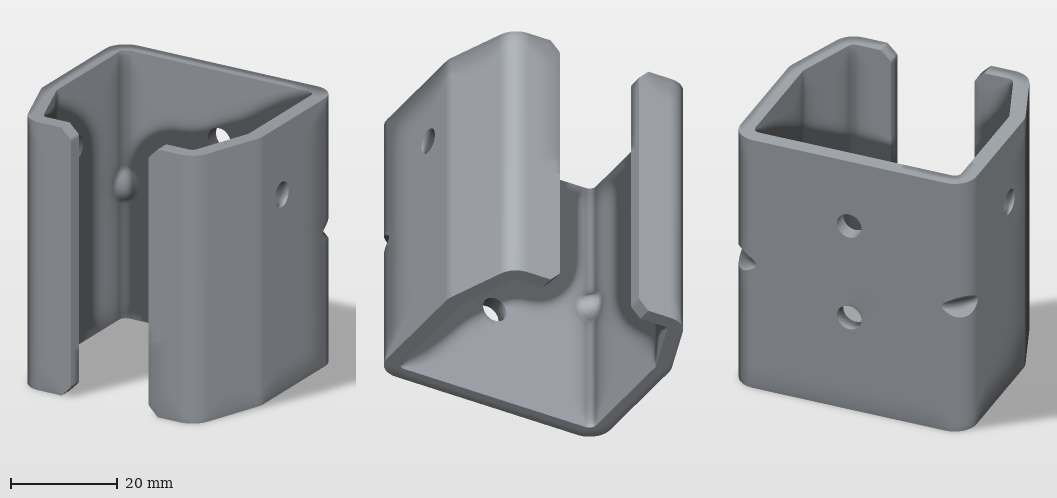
import cadquery as cq
import math

width = 48.0
depth = 42.5
length = 54.0
thickness = 3.0
inner_bend_radius = 1.4
outer_bend_radius = inner_bend_radius + thickness

fold_distance = 27.5
fold_angle = 20.0
slot_width = 16.95
lip_corner_chamfer = 2.05
lip_corner_radius = 1.0

hole_diameter = 5.0
upper_hole_height = 39.95
lower_hole_height = 20.0
side_hole_distance = 20.0

gusset_height = length / 2
groove_leg = 5.15
groove_root_radius = 1.15
ridge_crest_radius = 3.65
ridge_blend_radius = 0.9

back_y = depth / 2
front_y = -depth / 2
fold_slope = math.tan(math.radians(fold_angle))


def wall_shell(inset, bend_radius):
    """Solid bounded by the channel walls, inset from the outer faces."""
    half_width = width / 2 - inset
    back = back_y - inset
    front = front_y + inset
    fold_y = back_y - fold_distance + inset * math.tan(math.radians(fold_angle / 2))
    front_half_width = half_width - (fold_y - front) * fold_slope
    outline = [
        (-half_width, back),
        (half_width, back),
        (half_width, fold_y),
        (front_half_width, front),
        (-front_half_width, front),
        (-half_width, fold_y),
    ]
    return cq.Workplane("XY").polyline(outline).close().extrude(length).edges("|Z").fillet(bend_radius)


def slot():
    """Front slot, widened where the lip corners are chamfered and then rounded."""
    half_slot = slot_width / 2
    half_mouth = half_slot + lip_corner_chamfer
    upper_chamfer = length - lip_corner_chamfer
    outline = [
        (-half_mouth, 0),
        (half_mouth, 0),
        (half_slot, lip_corner_chamfer),
        (half_slot, upper_chamfer),
        (half_mouth, length),
        (-half_mouth, length),
        (-half_slot, upper_chamfer),
        (-half_slot, lip_corner_chamfer),
    ]
    lip_corners = cq.selectors.BoxSelector(
        (-half_mouth, front_y, lip_corner_chamfer / 2),
        (half_mouth, front_y + thickness, length - lip_corner_chamfer / 2),
    )
    return (
        cq.Workplane("XZ", origin=(0, front_y + thickness, 0))
        .polyline(outline)
        .close()
        .extrude(thickness)
        .edges("|Y")
        .edges(lip_corners)
        .fillet(lip_corner_radius)
    )


def rounded_wedge(tip, tip_radius, base):
    """Right-angled wedge with a round tip, lying across the left back corner.

    The tip and base are distances from the sharp outer corner along its inward diagonal.
    """
    corner_plane = cq.Plane(
        origin=(-width / 2, back_y, gusset_height),
        xDir=(1, -1, 0),
        normal=(-1, -1, 0),
    )
    tangent_offset = tip_radius * math.sin(math.radians(45))
    tangent_x = tip - tip_radius + tangent_offset
    base_half_height = tangent_offset + tangent_x - base
    return (
        cq.Workplane(corner_plane)
        .moveTo(base, -base_half_height)
        .lineTo(tangent_x, -tangent_offset)
        .threePointArc((tip, 0), (tangent_x, tangent_offset))
        .lineTo(base, base_half_height)
        .close()
        .extrude(width / 4, both=True)
    )


def mirrored_pair(left):
    return left.union(left.mirror("YZ"))


outer_solid = wall_shell(0, outer_bend_radius)
channel = outer_solid.cut(wall_shell(thickness, inner_bend_radius)).cut(slot())

groove_tip = groove_leg / math.sqrt(2)
ridge_tip = groove_tip + thickness
ridge_base = thickness * math.sqrt(2)
ridge = rounded_wedge(ridge_tip, ridge_crest_radius, ridge_base).intersect(outer_solid)
groove = rounded_wedge(groove_tip, groove_root_radius, 0)

channel = channel.union(mirrored_pair(ridge))

ridge_zone_front = back_y - thickness - 2 * (ridge_tip - ridge_base)
for side, along_ridge in ((-1, "(1, 1, 0)"), (1, "(1, -1, 0)")):
    zone = cq.selectors.BoxSelector(
        (side * (width / 2 - thickness / 2), back_y - thickness / 2, gusset_height - length / 5),
        (side * width / 4, ridge_zone_front, gusset_height + length / 5),
    )
    channel = channel.edges(zone).edges(f"not |{along_ridge}").fillet(ridge_blend_radius)

channel = channel.cut(mirrored_pair(groove))

back_holes = (
    cq.Workplane("XZ", origin=(0, back_y, 0))
    .pushPoints([(0, lower_hole_height), (0, upper_hole_height)])
    .circle(hole_diameter / 2)
    .extrude(thickness)
)

side_hole = (
    cq.Workplane("YZ")
    .center(back_y - side_hole_distance, upper_hole_height)
    .circle(hole_diameter / 2)
    .extrude(width / 2, both=True)
)

result = channel.cut(back_holes).cut(side_hole)